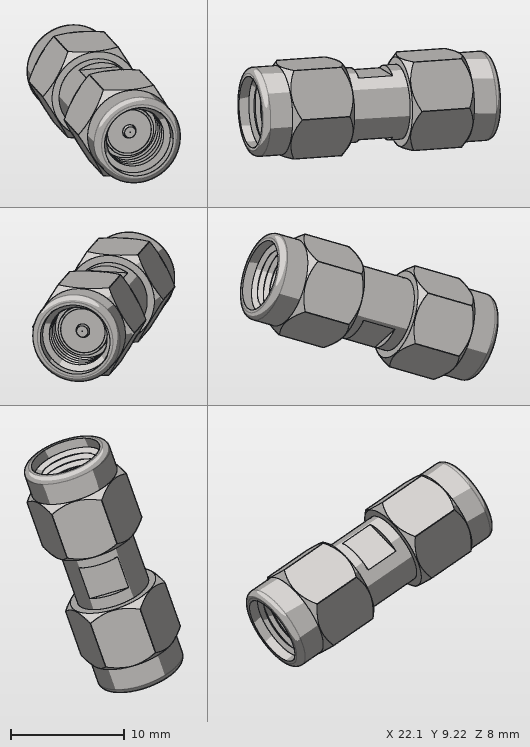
import cadquery as cq
import math

half_length = 22.1 / 2

hex_across_flats = 8.0
hex_across_corners = 9.22
hex_length = 5.77
collar_length = 2.59
collar_radius = 3.95
collar_fillet = 0.53

mouth_radius = 3.15
mouth_depth = 0.9
thread_crest_radius = 2.63
thread_pitch = 0.6
thread_ridges = 5

housing_radius = 3.32
tube_radius = 2.23
tube_bore_radius = 2.01
tube_depth = 2.96
flat_length = 3.14
flat_to_flat = 5.57

gasket_thickness = 0.66
insulator_recess = 0.05
pin_radius = 0.62
pin_tip_radius = 0.5
pin_tip_depth = 2.75
pin_taper_length = 1.1
center_mark_radius = 0.02
center_mark_depth = 0.1

hex_corner_radius = hex_across_corners / 2
hex_chamfer = hex_corner_radius - collar_radius

nut_front = -half_length
hex_front = nut_front + collar_length
nut_back = hex_front + hex_length
thread_front = nut_front + mouth_depth
gasket_front = thread_front + thread_pitch * thread_ridges
gasket_back = gasket_front + gasket_thickness
tube_front = nut_front + tube_depth
insulator_front = tube_front + insulator_recess
pin_front = nut_front + pin_tip_depth


def cylinder(radius, start, end):
    """Solid cylinder on the X axis from X = start to X = end."""
    return cq.Workplane("YZ", origin=(start, 0, 0)).circle(radius).extrude(end - start)


def revolve_about_x(profile):
    """Solid of revolution from an open (X, radius) profile that starts and ends on the X axis."""
    return profile.close().revolve(360, (0, 0, 0), (1, 0, 0))


def both_ends(body):
    """The solid of a body at the -X end and its mirror image at the +X end."""
    return [body.val(), body.mirror("YZ").val()]


def make_nut_outside():
    """Hexagon with 45 degree turned corners behind a round collar with a rounded rim."""
    turned = revolve_about_x(
        cq.Workplane("XY")
        .moveTo(nut_front, 0)
        .lineTo(nut_front, collar_radius - collar_fillet)
        .radiusArc((nut_front + collar_fillet, collar_radius), collar_fillet)
        .lineTo(hex_front, collar_radius)
        .lineTo(hex_front + hex_chamfer, hex_corner_radius)
        .lineTo(nut_back - hex_chamfer, hex_corner_radius)
        .lineTo(nut_back, collar_radius)
        .lineTo(nut_back, 0)
    )
    hexagon = (
        cq.Workplane("YZ", origin=(nut_front, 0, 0))
        .polygon(6, 2 * hex_across_flats / math.sqrt(3))
        .extrude(nut_back - nut_front)
    )
    return turned.intersect(hexagon)


def make_nut_bore():
    """Plain mouth, sharp V ridges, gasket seat and the bore around the housing."""
    profile = (
        cq.Workplane("XY")
        .moveTo(nut_front, 0)
        .lineTo(nut_front, mouth_radius)
        .lineTo(thread_front, mouth_radius)
    )
    for ridge in range(thread_ridges):
        crest_x = thread_front + (ridge + 0.5) * thread_pitch
        profile = (
            profile
            .lineTo(crest_x, thread_crest_radius)
            .lineTo(crest_x + thread_pitch / 2, mouth_radius)
        )
    profile = (
        profile
        .lineTo(gasket_back, mouth_radius)
        .lineTo(gasket_back, housing_radius)
        .lineTo(nut_back, housing_radius)
        .lineTo(nut_back, 0)
    )
    return revolve_about_x(profile)


def make_nut():
    return make_nut_outside().cut(make_nut_bore())


def make_gasket():
    """Flat ring around the housing tube, against the housing shoulder."""
    return cylinder(mouth_radius, gasket_front, gasket_back).cut(
        cylinder(tube_radius, gasket_front, gasket_back)
    )


def make_housing():
    """Round barrel with two wrench flats and a thin tube running out of each end."""
    barrel = cylinder(housing_radius, gasket_back, -gasket_back)
    flats_waist = cq.Workplane("XY").box(flat_length, 2 * housing_radius, flat_to_flat)
    flats_zone = cylinder(housing_radius, -flat_length / 2, flat_length / 2)
    barrel = barrel.cut(flats_zone.cut(flats_waist))
    tube = cylinder(tube_radius, tube_front, -tube_front)
    return barrel.union(tube).cut(cylinder(tube_bore_radius, tube_front, -tube_front))


def make_pin():
    """Centre pin with tapered ends and a fine centre mark in each tip."""
    taper_back = pin_front + pin_taper_length
    pin = revolve_about_x(
        cq.Workplane("XY")
        .moveTo(pin_front, 0)
        .lineTo(pin_front, pin_tip_radius)
        .lineTo(taper_back, pin_radius)
        .lineTo(-taper_back, pin_radius)
        .lineTo(-pin_front, pin_tip_radius)
        .lineTo(-pin_front, 0)
    )
    center_mark = cylinder(center_mark_radius, pin_front, pin_front + center_mark_depth)
    return pin.cut(center_mark).cut(center_mark.mirror("YZ"))


def make_insulator():
    """Plug that fills the housing bore around the pin."""
    return cylinder(tube_bore_radius, insulator_front, -insulator_front).cut(
        cylinder(pin_radius, insulator_front, -insulator_front)
    )


nuts = both_ends(make_nut())
gaskets = both_ends(make_gasket())
housing = make_housing()
insulator = make_insulator()
pin = make_pin()

result = cq.Compound.makeCompound([*nuts, *gaskets, housing.val(), insulator.val(), pin.val()])